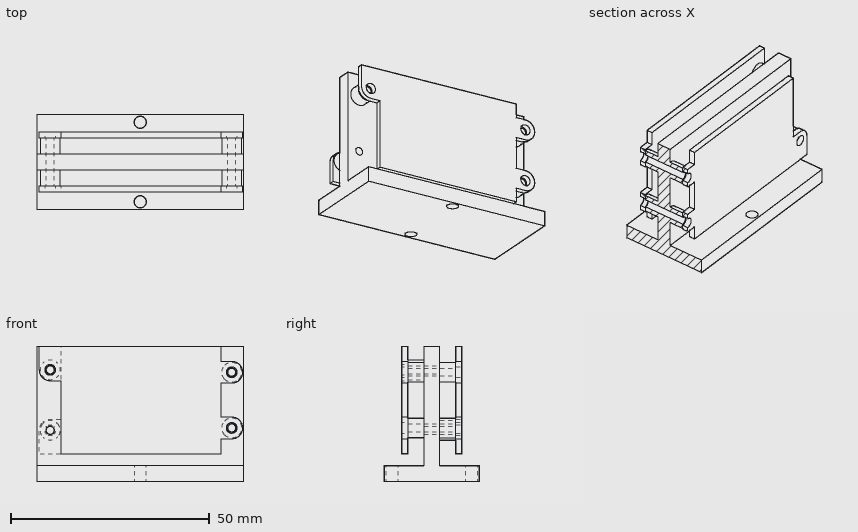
import cadquery as cq

length = 52.0
base_width = 24.0
plate_thickness = 4.0
total_height = 34.0

base_hole_diameter = 3.0
base_hole_offset = 10.0

standoff_diameter = 5.0
standoff_height = 4.0
screw_hole_diameter = 2.0

board_thickness = 1.6
board_height = 27.0
board_hole_diameter = 2.7
board_left = -19.9
board_right = 20.3
lug_radius = 2.75

left_lug_x = -22.65
left_lug_rise = 7.6
right_lug_x = 23.0
right_lug_rise = 7.0

wall_face = plate_thickness / 2
board_inner_face = wall_face + standoff_height
board_middle_z = total_height - board_height / 2

lug_points = [
    (left_lug_x, left_lug_rise),
    (right_lug_x, right_lug_rise),
    (right_lug_x, -right_lug_rise),
]


def cylinders_along_y(points, diameter, start_y, depth):
    """Cylinders running toward +Y from start_y; points are (x, rise above the board middle)."""
    return (
        cq.Workplane("XZ", origin=(0, start_y, board_middle_z))
        .pushPoints(points)
        .circle(diameter / 2)
        .extrude(-depth)
    )


def turn_to_back(shape):
    """Turn a front-side shape half a turn about the X direction through the board middle."""
    axis_start = (0, 0, board_middle_z)
    axis_end = (1, 0, board_middle_z)
    return shape.rotate(axis_start, axis_end, 180)


def make_holder():
    base = cq.Workplane("XY").box(length, base_width, plate_thickness, centered=(True, True, False))
    wall = cq.Workplane("XY", origin=(0, 0, plate_thickness)).box(
        length, plate_thickness, total_height - plate_thickness, centered=(True, True, False)
    )
    body = base.union(wall)

    front_standoffs = cylinders_along_y(
        lug_points, standoff_diameter, -board_inner_face, standoff_height
    )
    body = body.union(front_standoffs).union(turn_to_back(front_standoffs))

    screw_points = lug_points + [(left_lug_x, -left_lug_rise)]
    screw_holes = cylinders_along_y(
        screw_points, screw_hole_diameter, -board_inner_face, 2 * board_inner_face
    )
    base_holes = (
        cq.Workplane("XY")
        .pushPoints([(0, -base_hole_offset), (0, base_hole_offset)])
        .circle(base_hole_diameter / 2)
        .extrude(plate_thickness)
    )
    return body.cut(screw_holes).cut(base_holes)


def make_front_board():
    """Board outline walked from its top left corner down the left side and back up the right."""
    top = board_height / 2
    outline = (
        cq.Workplane("XZ", origin=(0, -board_inner_face, board_middle_z))
        .moveTo(left_lug_x - lug_radius, top)
        .lineTo(left_lug_x - lug_radius, left_lug_rise)
        .radiusArc((left_lug_x, left_lug_rise - lug_radius), -lug_radius)
        .lineTo(board_left, left_lug_rise - lug_radius)
        .lineTo(board_left, -top)
        .lineTo(board_right, -top)
    )
    for rise in (-right_lug_rise, right_lug_rise):
        outline = (
            outline.lineTo(board_right, rise - lug_radius)
            .lineTo(right_lug_x, rise - lug_radius)
            .threePointArc((right_lug_x + lug_radius, rise), (right_lug_x, rise + lug_radius))
            .lineTo(board_right, rise + lug_radius)
        )
    board = outline.lineTo(board_right, top).close().extrude(board_thickness)
    holes = cylinders_along_y(
        lug_points, board_hole_diameter, -board_inner_face - board_thickness, board_thickness
    )
    return board.cut(holes)


holder = make_holder()
front_board = make_front_board()
back_board = turn_to_back(front_board)

result = cq.Compound.makeCompound([holder.val(), front_board.val(), back_board.val()])